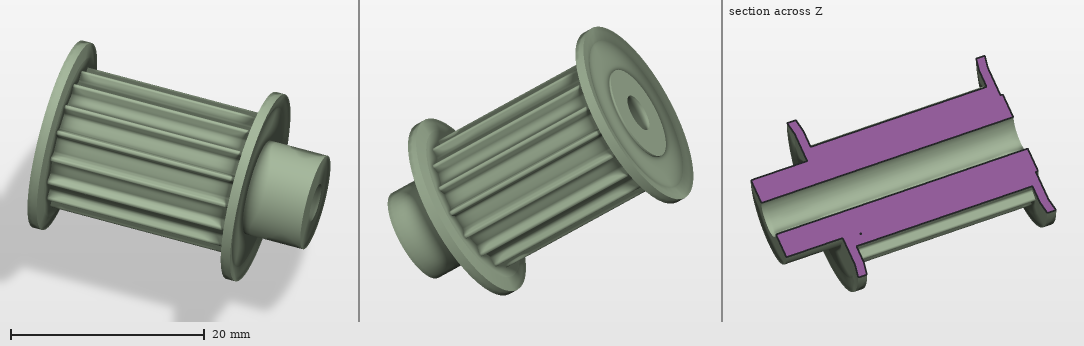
import cadquery as cq
import math

total_length = 28.0
hub_projection = 6.0
pulley_width = total_length - hub_projection

hub_diameter = 10.0
bore_diameter = 4.0

flange_diameter = 20.0
flange_thickness = 1.0
dish_diameter = 17.0
dish_depth = 0.25

tooth_count = 16
tip_radius = 7.45
root_radius = 6.45
groove_half_width = 0.8
flank_angle = math.radians(25)
root_fillet = 0.25
tip_fillet = 0.22
radius_tolerance = 0.003
core_start = flange_thickness + dish_depth
core_length = pulley_width - 2 * core_start


def polar_point(radius, angle):
    return (radius * math.cos(angle), radius * math.sin(angle))


def flank_half_angle(radius):
    """Half angle of a groove, seen from the axis, at the given radius."""
    root_height = math.sqrt(root_radius**2 - groove_half_width**2)
    apex = root_height - groove_half_width / math.tan(flank_angle)
    return flank_angle - math.asin(apex * math.sin(flank_angle) / radius)


def corners_at(core, radius):
    """Lengthwise edges of the core lying at the given radius."""
    return [
        edge
        for edge in core.edges("|X").vals()
        if abs(math.hypot(edge.Center().y, edge.Center().z) - radius) < radius_tolerance
    ]


def make_core():
    """Cylinder with straight-flanked grooves, rounded at the roots and tips."""
    pitch_angle = 2 * math.pi / tooth_count
    root_half = flank_half_angle(root_radius)
    tip_half = flank_half_angle(tip_radius)

    profile = cq.Workplane("YZ", origin=(core_start, 0, 0))
    profile = profile.moveTo(*polar_point(root_radius, -root_half))
    for groove in range(tooth_count):
        centre = groove * pitch_angle
        next_centre = centre + pitch_angle
        profile = (
            profile.threePointArc(
                polar_point(root_radius, centre), polar_point(root_radius, centre + root_half)
            )
            .lineTo(*polar_point(tip_radius, centre + tip_half))
            .threePointArc(
                polar_point(tip_radius, centre + pitch_angle / 2),
                polar_point(tip_radius, next_centre - tip_half),
            )
        )
        if groove < tooth_count - 1:
            profile = profile.lineTo(*polar_point(root_radius, next_centre - root_half))
    core = profile.close().extrude(core_length)

    core = core.newObject(corners_at(core, root_radius)).fillet(root_fillet)
    return core.newObject(corners_at(core, tip_radius)).fillet(tip_fillet)


def make_flange(outer_face, inward):
    """Dished disc from its outer rim face; inward is +1 or -1 along X."""
    rim_inner = outer_face + inward * flange_thickness
    dish = inward * dish_depth
    return (
        cq.Workplane("XY")
        .moveTo(outer_face + dish, 0)
        .lineTo(outer_face + dish, dish_diameter / 2)
        .lineTo(outer_face, flange_diameter / 2)
        .lineTo(rim_inner, flange_diameter / 2)
        .lineTo(rim_inner + dish, dish_diameter / 2)
        .lineTo(rim_inner + dish, 0)
        .close()
        .revolve(360, (0, 0, 0), (1, 0, 0))
    )


def make_hub():
    return cq.Workplane("YZ").circle(hub_diameter / 2).extrude(total_length)


def make_bore():
    return cq.Workplane("YZ").circle(bore_diameter / 2).extrude(total_length)


result = (
    make_hub()
    .union(make_core())
    .union(make_flange(0, 1))
    .union(make_flange(pulley_width, -1))
    .cut(make_bore())
)